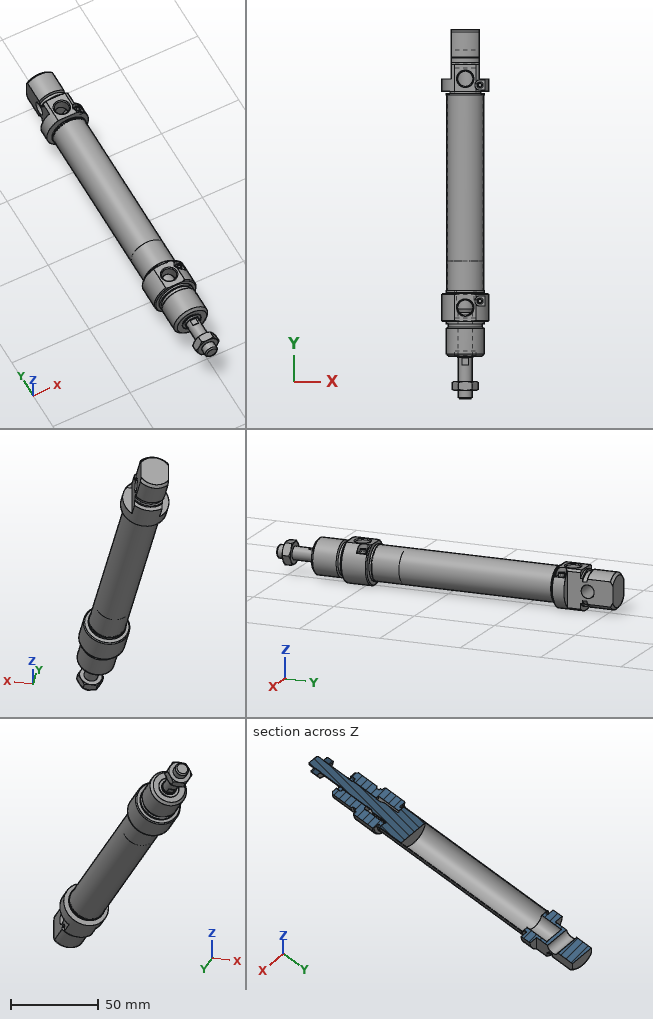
import cadquery as cq
import math


nut_front = 4.9
nut_length = 5.0
flats_front = 19.5
flats_length = 3.8
nose_front = 24.3
nose_thread_end = 40.3
nose_groove_end = 42.9
front_cap_start = 44.1
front_cap_end = 60.2
front_bead_start = 60.8
front_bead_end = 62.0
rear_bead_start = 173.8
rear_bead_end = 174.7
rear_cap_start = 176.0
rear_collar_end = 183.1
rear_cap_end = 191.1
tail_groove_start = 192.5
tail_thread_start = 195.5
tail_end = 211.2

cap_diameter = 27.0
cap_chamfer = 0.6
thread_diameter = 22.0
thread_end_chamfer = 1.5
groove_diameter = 19.6
groove_bevel = 0.6
neck_diameter = 17.7
tube_diameter = 21.3
port_flat_height = 12.0
tail_width = 16.0

bore_diameter = 20.0
chamber_diameter = 12.0
chamber_margin = 1.0
pivot_hole_diameter = 8.0
port_diameter = 8.7
port_rim_diameter = 10.0
front_port_y = (front_cap_start + front_cap_end) / 2
rear_port_y = rear_collar_end

screw_x = 8.5
screw_pocket_width = 6.0
screw_pocket_floor = 7.5
screw_diameter = 3.5
screw_height = 2.1
screw_socket_diameter = 2.1
screw_socket_depth = 1.0
front_screw_y = 56.0
rear_screw_y = (rear_cap_start + rear_collar_end) / 2

rod_diameter = 8.0
rod_tip_chamfer = 0.8
rod_across_flats = 7.2
sleeve_diameter = 10.0
sleeve_front = 49.5
sleeve_taper_length = 2.0
piston_length = 17.0

nut_across_flats = 13.0
nut_chamfer_angle = 30
wiper_recess = 0.6
wiper_length = 2.5
wiper_lip_diameter = 8.7
wiper_lip_front = 23.7


def turned(profile):
    """Solid of revolution about Y from (radius, y) points; the axis closes the profile."""
    on_axis = [(0, profile[0][1]), *profile, (0, profile[-1][1])]
    return cq.Workplane("XY").polyline(on_axis).close().revolve(360, (0, 0), (0, 1))


def rod_along_y(diameter, start, end):
    """Plain cylinder about the Y axis between two stations."""
    return turned([(diameter / 2, start), (diameter / 2, end)])


def cylinder_down(diameter, x, y, top, depth):
    """Vertical cylinder that starts at height `top` and goes down."""
    return cq.Workplane("XY", origin=(x, y, top)).circle(diameter / 2).extrude(-depth)


def turned_housing():
    """Nose, caps, necks, beads, tube and tail turned as one outline."""
    cap_r = cap_diameter / 2
    thread_r = thread_diameter / 2
    groove_r = groove_diameter / 2
    neck_r = neck_diameter / 2
    tube_r = tube_diameter / 2
    end_r = thread_r - thread_end_chamfer
    return turned([
        (end_r, nose_front),
        (thread_r, nose_front + thread_end_chamfer),
        (thread_r, nose_thread_end),
        (groove_r, nose_thread_end + groove_bevel),
        (groove_r, nose_groove_end),
        (thread_r, nose_groove_end),
        (thread_r, front_cap_start),
        (cap_r - cap_chamfer, front_cap_start),
        (cap_r, front_cap_start + cap_chamfer),
        (cap_r, front_cap_end - cap_chamfer),
        (cap_r - cap_chamfer, front_cap_end),
        (neck_r, front_cap_end),
        (neck_r, front_bead_start),
        (thread_r, front_bead_start),
        (thread_r, front_bead_end),
        (tube_r, front_bead_end),
        (tube_r, rear_bead_start),
        (thread_r, rear_bead_start),
        (thread_r, rear_bead_end),
        (neck_r, rear_bead_end),
        (neck_r, rear_cap_start),
        (cap_r, rear_cap_start),
        (cap_r, rear_cap_end),
        (thread_r, rear_cap_end),
        (thread_r, tail_groove_start),
        (groove_r, tail_groove_start),
        (groove_r, tail_thread_start - groove_bevel),
        (thread_r, tail_thread_start),
        (thread_r, tail_end - thread_end_chamfer),
        (end_r, tail_end),
    ])


def cut_outer_flats(body):
    """Flat for the ports on top, and the two side flats of the tail."""
    length = tail_end - nose_front
    above_ports = cq.Workplane("XY").box(cap_diameter, length, cap_diameter, centered=(True, False, False))
    body = body.cut(above_ports.translate((0, nose_front, port_flat_height)))
    tail_length = tail_end - rear_collar_end
    beside_tail = cq.Workplane("XY").box(cap_diameter, tail_length, cap_diameter, centered=(True, False, True))
    for side in (-1, 1):
        offset = side * (tail_width + cap_diameter) / 2
        body = body.cut(beside_tail.translate((offset, rear_collar_end, 0)))
    return body


def cut_inside(body):
    """Wiper seat, rod bearing, cushioning chambers and piston bore."""
    wiper_seat_end = nose_front + wiper_recess + wiper_length
    rear_chamber_end = rear_port_y + port_rim_diameter / 2 + chamber_margin
    front_chamber_start = front_port_y - port_rim_diameter / 2 - chamber_margin
    body = body.cut(rod_along_y(chamber_diameter, nose_front, wiper_seat_end))
    body = body.cut(rod_along_y(rod_diameter, nose_front, front_cap_end))
    body = body.cut(rod_along_y(chamber_diameter, front_chamber_start, rear_chamber_end))
    return body.cut(rod_along_y(bore_diameter, front_bead_end, rear_bead_start))


def cut_port(body, y):
    """Air port with a 45 degree rim, drilled down into the cushioning chamber."""
    rim_depth = (port_rim_diameter - port_diameter) / 2
    drill = cylinder_down(port_diameter, 0, y, port_flat_height, port_flat_height)
    rim = (
        cq.Workplane("XY", origin=(0, y, port_flat_height))
        .circle(port_rim_diameter / 2)
        .extrude(-rim_depth, taper=45)
    )
    return body.cut(drill).cut(rim)


def add_cushion_screw(body, y):
    """Round-ended pocket open to +X, with a socketed screw head standing on its floor."""
    pocket_depth = port_flat_height - screw_pocket_floor
    round_end = cylinder_down(screw_pocket_width, screw_x, y, port_flat_height, pocket_depth)
    open_side = (
        cq.Workplane("XY")
        .box(cap_diameter, screw_pocket_width, pocket_depth, centered=(False, True, False))
        .translate((screw_x, y, screw_pocket_floor))
    )
    head_top = screw_pocket_floor + screw_height
    head = cylinder_down(screw_diameter, screw_x, y, head_top, screw_height)
    socket = cylinder_down(screw_socket_diameter, screw_x, y, head_top, screw_socket_depth)
    return body.cut(round_end).cut(open_side).union(head).cut(socket)


def make_housing():
    body = cut_inside(cut_outer_flats(turned_housing()))
    for port_y, screw_y in ((front_port_y, front_screw_y), (rear_port_y, rear_screw_y)):
        body = add_cushion_screw(cut_port(body, port_y), screw_y)
    pivot_hole = (
        cq.Workplane("YZ", origin=(-cap_diameter / 2, tail_thread_start, 0))
        .circle(pivot_hole_diameter / 2)
        .extrude(cap_diameter)
    )
    return body.cut(pivot_hole)


def make_piston_rod():
    """Rod with wrench flats, a tapered cushioning sleeve and the piston at the front of the bore."""
    rod_r = rod_diameter / 2
    sleeve_r = sleeve_diameter / 2
    piston_r = bore_diameter / 2
    rod = turned([
        (rod_r - rod_tip_chamfer, 0),
        (rod_r, rod_tip_chamfer),
        (rod_r, sleeve_front),
        (sleeve_r, sleeve_front + sleeve_taper_length),
        (sleeve_r, front_bead_end),
        (piston_r, front_bead_end),
        (piston_r, front_bead_end + piston_length),
    ])
    flat_cutter = cq.Workplane("XY").box(rod_diameter, flats_length, rod_diameter, centered=(True, False, True))
    for side in (-1, 1):
        offset = side * (rod_across_flats + rod_diameter) / 2
        rod = rod.cut(flat_cutter.translate((0, flats_front, offset)))
    return rod


def make_nut():
    """Hexagon nut with two flats facing up and down and its corners chamfered at both ends."""
    across_corners = nut_across_flats / math.cos(math.pi / 6)
    flat_r = nut_across_flats / 2
    corner_r = across_corners / 2
    chamfer_length = (corner_r - flat_r) * math.tan(math.radians(nut_chamfer_angle))
    nut_back = nut_front + nut_length
    hexagon = cq.Workplane("XZ", origin=(0, nut_back, 0)).polygon(6, across_corners).extrude(nut_length)
    chamfered_blank = turned([
        (flat_r, nut_front),
        (corner_r, nut_front + chamfer_length),
        (corner_r, nut_back - chamfer_length),
        (flat_r, nut_back),
    ])
    return hexagon.intersect(chamfered_blank).cut(rod_along_y(rod_diameter, nut_front, nut_back))


def make_wiper_ring():
    """Ring seated between the rod and the nose, with a thin lip that reaches out past the front face."""
    start = nose_front + wiper_recess
    end = start + wiper_length
    ring = turned([
        (wiper_lip_diameter / 2, wiper_lip_front),
        (wiper_lip_diameter / 2, start),
        (chamber_diameter / 2, start),
        (chamber_diameter / 2, end),
    ])
    return ring.cut(rod_along_y(rod_diameter, wiper_lip_front, end))


housing = make_housing()
piston_rod = make_piston_rod()
nut = make_nut()
wiper_ring = make_wiper_ring()

result = cq.Compound.makeCompound([housing.val(), piston_rod.val(), nut.val(), wiper_ring.val()])